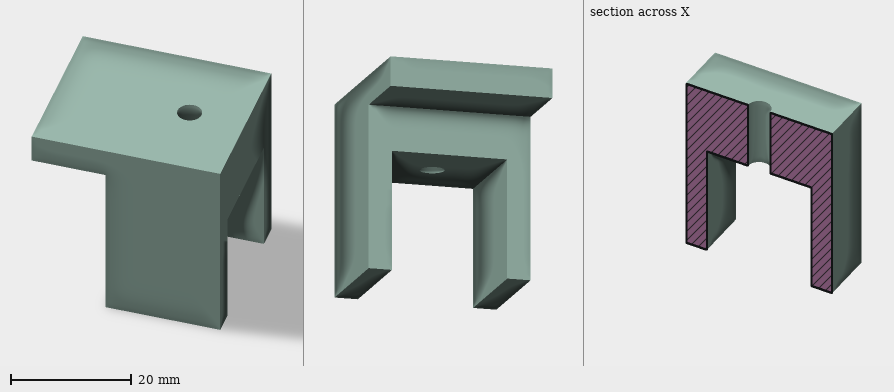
import cadquery as cq

length = 32.95
width = 28.12
height = 33.25

overhang = 12.85
plate_thickness = 5.1
block_length = length - overhang

slot_width = 20.0
slot_height = 20.5

hole_diameter = 4.2
hole_x = 23.15


def centred_box(x_start, x_size, y_size, z_start, z_size):
    """Box centred on the Y = 0 plane, starting at x_start and z_start."""
    return (
        cq.Workplane("XY")
        .box(x_size, y_size, z_size, centered=(False, True, False))
        .translate((x_start, 0, z_start))
    )


plate = centred_box(0, length, width, height - plate_thickness, plate_thickness)
block = centred_box(overhang, block_length, width, 0, height)
slot = centred_box(overhang, block_length, slot_width, 0, slot_height)
hole = cq.Workplane("XY").center(hole_x, 0).circle(hole_diameter / 2).extrude(height)

result = plate.union(block).cut(slot).cut(hole)